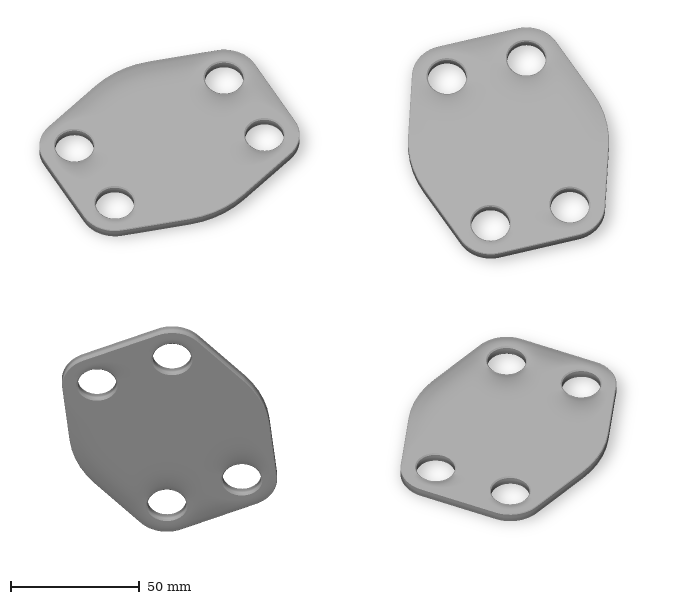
import cadquery as cq
import math

plate_length = 94.0
plate_width = 78.0
thickness = 4.0
edge_chamfer = 0.3

hole_diameter = 15.0
hole_spacing_x = 31.8
hole_spacing_y = 66.7
hole_x = hole_spacing_x / 2
hole_y = hole_spacing_y / 2
hole_chamfer = 0.5

side_radius = plate_width / 2
corner_radius = plate_length / 2 - hole_y

hole_distance = math.hypot(hole_x, hole_y)
flank_angle = math.atan2(hole_y, hole_x) - math.acos((side_radius - corner_radius) / hole_distance)
corner_mid_angle = (flank_angle + math.pi / 2) / 2


def corner_point(angle):
    """Point on the +X +Y corner arc at the given angle from +X."""
    return (
        hole_x + corner_radius * math.cos(angle),
        hole_y + corner_radius * math.sin(angle),
    )


def mirror_x(point):
    return (-point[0], point[1])


def mirror_y(point):
    return (point[0], -point[1])


def make_plate():
    """Plate with flat ends, rounded corners and bowed sides, chamfered all round."""
    flat_end = corner_point(math.pi / 2)
    corner_mid = corner_point(corner_mid_angle)
    flank_outer = corner_point(flank_angle)
    flank_inner = (side_radius * math.cos(flank_angle), side_radius * math.sin(flank_angle))

    plate = (
        cq.Workplane("XY")
        .moveTo(*mirror_x(flat_end))
        .lineTo(*flat_end)
        .threePointArc(corner_mid, flank_outer)
        .lineTo(*flank_inner)
        .threePointArc((side_radius, 0), mirror_y(flank_inner))
        .lineTo(*mirror_y(flank_outer))
        .threePointArc(mirror_y(corner_mid), mirror_y(flat_end))
        .lineTo(*mirror_x(mirror_y(flat_end)))
        .threePointArc(mirror_x(mirror_y(corner_mid)), mirror_x(mirror_y(flank_outer)))
        .lineTo(*mirror_x(mirror_y(flank_inner)))
        .threePointArc((-side_radius, 0), mirror_x(flank_inner))
        .lineTo(*mirror_x(flank_outer))
        .threePointArc(mirror_x(corner_mid), mirror_x(flat_end))
        .close()
        .extrude(thickness)
    )
    return plate.faces("<Z or >Z").edges().chamfer(edge_chamfer)


def make_hole_cutters():
    """Four through holes with a chamfer at each rim."""
    hole_radius = hole_diameter / 2
    rim_radius = hole_radius + hole_chamfer
    profile = [
        (0, 0),
        (rim_radius, 0),
        (hole_radius, hole_chamfer),
        (hole_radius, thickness - hole_chamfer),
        (rim_radius, thickness),
        (0, thickness),
    ]
    cutter = cq.Workplane("XZ").polyline(profile).close().revolve(360, (0, 0), (0, 1))
    cutters = cq.Workplane("XY")
    for x in (-hole_x, hole_x):
        for y in (-hole_y, hole_y):
            cutters = cutters.add(cutter.translate((x, y, 0)))
    return cutters.combine()


result = make_plate().cut(make_hole_cutters())